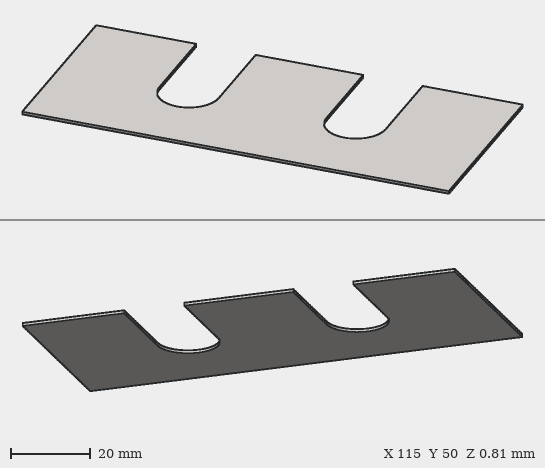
import cadquery as cq

length = 115.0
width = 50.0
thickness = 0.81

slot_width = 16.0
slot_depth = 33.0
slot_spacing = 45.0

slot_radius = slot_width / 2
open_edge_y = width / 2
arc_centre_y = open_edge_y - slot_depth + slot_radius


def make_plate():
    """Plain rectangular sheet with its bottom face on Z = 0."""
    return cq.Workplane("XY").box(length, width, thickness, centered=(True, True, False))


def make_slot(centre_x):
    """Cutter for one slot: straight sides ending in a half circle."""
    left_x = centre_x - slot_radius
    right_x = centre_x + slot_radius
    return (
        cq.Workplane("XY")
        .moveTo(left_x, open_edge_y)
        .lineTo(left_x, arc_centre_y)
        .threePointArc((centre_x, arc_centre_y - slot_radius), (right_x, arc_centre_y))
        .lineTo(right_x, open_edge_y)
        .close()
        .extrude(thickness)
    )


result = make_plate()
for side in (-1, 1):
    result = result.cut(make_slot(side * slot_spacing / 2))